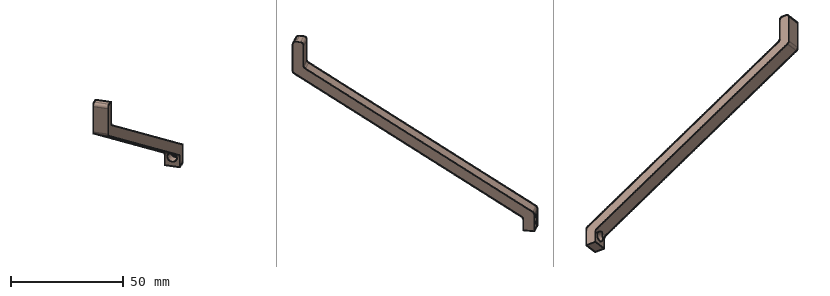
import cadquery as cq
import math

width = 7.0
depth = 110.0
thickness = 5.0
arm_angle = 30.0
front_leg_length = 15.0
rear_leg_length = 9.0
round_radius = 1.5
hole_diameter = 4.4
hole_height = 4.5

slope = math.tan(math.radians(arm_angle))
arm_vertical_thickness = thickness / math.cos(math.radians(arm_angle))
rear_inner_y = depth - thickness
rear_outer_z = rear_leg_length
rear_inner_z = rear_outer_z + thickness * slope - arm_vertical_thickness
front_outer_z = rear_inner_z + rear_inner_y * slope
front_inner_z = rear_outer_z + rear_inner_y * slope
top_z = front_outer_z + front_leg_length

bend_and_tip_corners = [
    (0, front_outer_z),
    (0, top_z),
    (thickness, top_z),
    (thickness, front_inner_z),
    (depth, rear_outer_z),
    (rear_inner_y, rear_inner_z),
]


def make_bar():
    """Z-shaped bar: front leg up, sloping arm, rear leg down, centred on X = 0."""
    rear_leg_end = [(depth, 0), (rear_inner_y, 0)]
    outline = bend_and_tip_corners[:-1] + rear_leg_end + bend_and_tip_corners[-1:]
    return cq.Workplane("YZ").polyline(outline).close().extrude(width / 2, both=True)


def round_corners(bar):
    """Round every bend and the front leg tip; the rear leg end stays square."""
    for y, z in bend_and_tip_corners:
        edge = cq.selectors.NearestToPointSelector((0, y, z))
        bar = bar.edges("|X").edges(edge).fillet(round_radius)
    return bar


def make_hole():
    """Mounting hole along Y through the rear leg; its top grazes the underside of the arm."""
    hole = cq.Workplane("XZ", origin=(0, depth, hole_height))
    return hole.circle(hole_diameter / 2).extrude(depth)


result = round_corners(make_bar()).cut(make_hole())